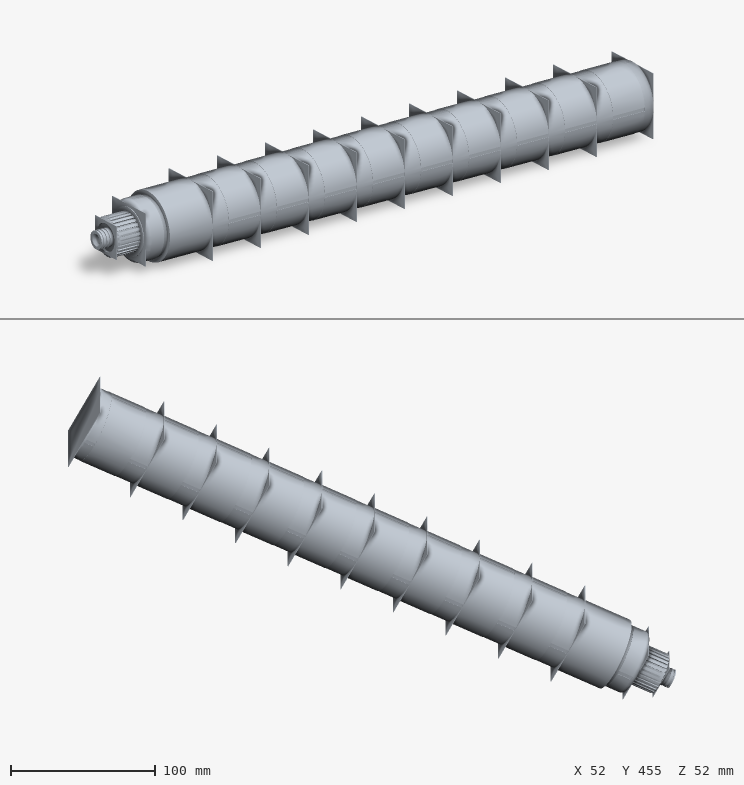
import cadquery as cq

total_length = 455.0
body_diameter = 52.0
body_length = 411.0
end_rounding = 1.5
head_diameter = 46.0
head_front = 427.0
head_rounding = 3.0
nut_front = 446.7

plate_thickness = 0.5
plate_count = 9
first_plate = 49.0
last_plate = 375.0
plate_pitch = (last_plate - first_plate) / (plate_count - 1)
band_length = 14.0
end_band_length = 8.0
band_depth = 0.25
seam_width = 2.7
seam_depth = 0.35
neck_length = 2.7
neck_depth = 0.5

collar_diameter = 36.0
collar_height = 0.5

nut_diameter = 29.5
nut_chamfer = 2.5
nut_chamfer_length = 1.5
nut_plate_size = nut_diameter - 2 * nut_chamfer
face_recess_diameter = 21.0
face_recess_depth = 2.0
knurl_count = 28
knurl_width = 1.5
knurl_depth = 1.15
plug_diameter = 13.5
plug_bore_diameter = 6.5
plug_bore_depth = 7.0
plug_bore_chamfer = 1.5
thread_groove_count = 3
thread_groove_width = 1.15
thread_groove_depth = 0.7

closed_end = total_length / 2


def plane_at(distance):
    """Work plane square to the axis, at a distance from the closed end, facing the tip."""
    return cq.Workplane("XZ", origin=(0, closed_end - distance, 0))


def cylinder(diameter, start, end):
    return plane_at(start).circle(diameter / 2).extrude(end - start)


def ring(outer_diameter, depth, start, end):
    """Ring that cuts a groove of the given depth into a cylinder."""
    return cylinder(outer_diameter, start, end).cut(cylinder(outer_diameter - 2 * depth, start, end))


def square_plate(size, front):
    """Thin square plate whose front face lies at the given distance."""
    return plane_at(front - plate_thickness).rect(size, size).extrude(plate_thickness)


def seams(diameter, start, end, direction):
    """Pair of opposite bars, along X or Z, that cut lengthwise seam grooves into a cylinder."""
    offsets = [(diameter / 2, 0), (-diameter / 2, 0)]
    bars = plane_at(start).pushPoints(offsets).rect(2 * seam_depth, seam_width).extrude(end - start)
    return bars if direction == "X" else bars.rotate((0, 0, 0), (0, 1, 0), 90)


def make_body():
    body = cylinder(body_diameter, 0, body_length)
    body = body.cut(ring(body_diameter, band_depth, 0, end_band_length))
    body = body.faces(">Y").edges().fillet(end_rounding)
    body = body.union(square_plate(body_diameter - 2 * end_rounding, plate_thickness))
    body = body.cut(seams(body_diameter, end_rounding, end_band_length, "Z"))
    segment_start = end_band_length
    for index in range(plate_count):
        position = first_plate + index * plate_pitch
        band_start = position - band_length
        body = body.cut(ring(body_diameter, band_depth, band_start, position))
        body = body.cut(seams(body_diameter, band_start, position, "Z"))
        body = body.cut(seams(body_diameter, segment_start, band_start, "X"))
        segment_start = position
        body = body.union(square_plate(body_diameter, position))
    return body


def make_head():
    head = cylinder(head_diameter, body_length, head_front).faces("<Y").edges().fillet(head_rounding)
    head = head.cut(ring(head_diameter, neck_depth, body_length, body_length + neck_length))
    head = head.cut(seams(head_diameter, body_length, head_front - head_rounding, "Z"))
    head = head.union(cylinder(collar_diameter, head_front, head_front + collar_height))
    return head.union(square_plate(head_diameter - 2 * head_rounding, head_front))


def make_nut():
    nut = cylinder(nut_diameter, head_front, nut_front)
    nut = nut.faces("<Y").edges().chamfer(nut_chamfer_length, nut_chamfer)
    first_gap_angle = 90 + 180 / knurl_count
    grooves = (
        plane_at(head_front)
        .polarArray(nut_diameter / 2, first_gap_angle, 360, knurl_count)
        .rect(2 * knurl_depth, knurl_width)
        .extrude(nut_front - head_front)
    )
    nut = nut.cut(grooves).union(square_plate(nut_plate_size, nut_front))
    return nut.cut(cylinder(face_recess_diameter, nut_front - face_recess_depth, nut_front))


def make_plug():
    plug = cylinder(plug_diameter, nut_front - face_recess_depth, total_length)
    groove_pitch = (total_length - nut_front) / thread_groove_count
    for index in range(thread_groove_count):
        start = nut_front + (index + 0.5) * groove_pitch - thread_groove_width / 2
        plug = plug.cut(ring(plug_diameter, thread_groove_depth, start, start + thread_groove_width))
    plug = plug.cut(cylinder(plug_bore_diameter, total_length - plug_bore_depth, total_length))
    bore_rim = cq.selectors.RadiusNthSelector(0)
    return plug.faces("<Y").edges(bore_rim).chamfer(plug_bore_chamfer)


result = make_body().union(make_head()).union(make_nut()).union(make_plug())